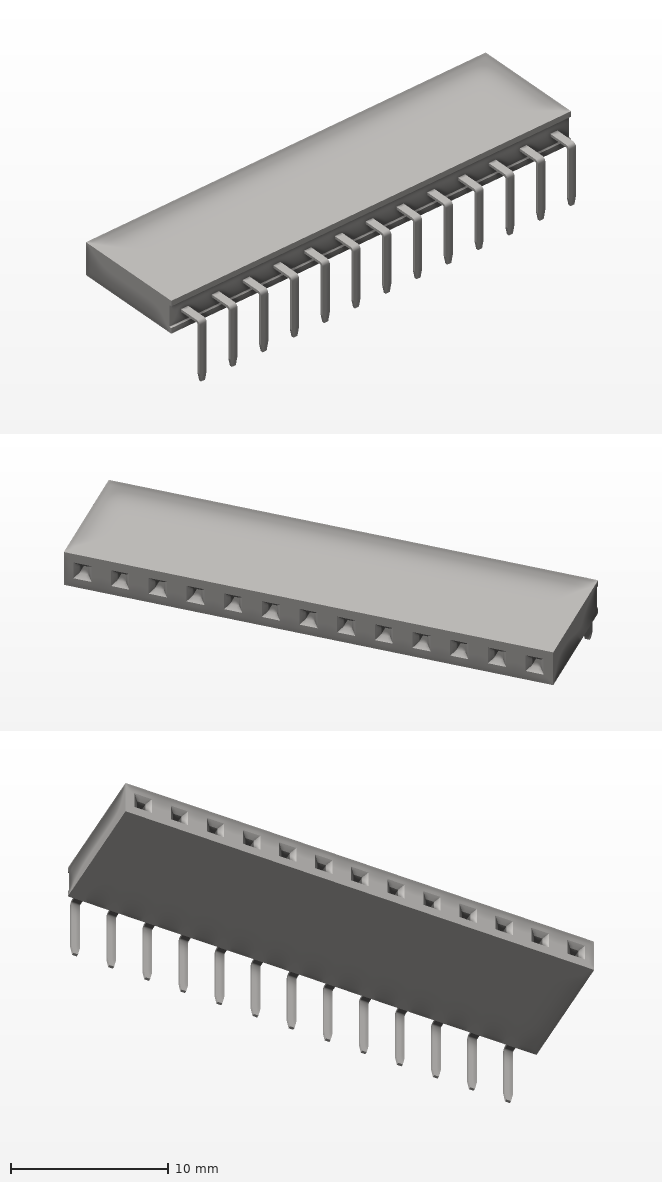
import cadquery as cq

pin_count = 13
total_length = 33.02
total_width = 10.15
total_height = 5.85
pitch = 2.55
housing_width = 8.5
housing_height = 2.55

groove_depth = 0.2
groove_lip = 0.43

pin_thickness = 0.2
pin_width = 0.6
pin_start = 1.12
bend_outer_radius = 0.3
bend_inner_radius = bend_outer_radius - pin_thickness
tip_length = 0.63
tip_width = 0.33

funnel_mouth = 1.22
socket_side = pin_width
funnel_depth = 0.3
socket_depth = 2.97

axis_z = housing_height / 2
pin_top = axis_z + pin_thickness / 2
tip_z = housing_height - total_height
pin_places = [(i - (pin_count - 1) / 2) * pitch for i in range(pin_count)]


def make_housing():
    block = cq.Workplane("XY").box(
        housing_width, total_length, housing_height, centered=(False, True, False)
    )
    groove = (
        cq.Workplane("XY")
        .box(groove_depth, total_length, housing_height - 2 * groove_lip)
        .translate((housing_width - groove_depth / 2, 0, axis_z))
    )
    return block.cut(groove)


def make_socket():
    """Square socket with a tapered lead-in, opening at X = 0."""
    funnel = (
        cq.Workplane("YZ")
        .center(0, axis_z)
        .rect(funnel_mouth, funnel_mouth)
        .workplane(offset=funnel_depth)
        .rect(socket_side, socket_side)
        .loft(ruled=True)
    )
    shaft = (
        cq.Workplane("YZ")
        .center(0, axis_z)
        .rect(socket_side, socket_side)
        .extrude(socket_depth)
    )
    return funnel.union(shaft)


def make_pin():
    """Flat strip bent down behind the housing, with a tip tapered in width."""
    strip = (
        cq.Workplane("XZ")
        .moveTo(pin_start, pin_top)
        .lineTo(total_width - bend_outer_radius, pin_top)
        .radiusArc((total_width, pin_top - bend_outer_radius), bend_outer_radius)
        .lineTo(total_width, tip_z)
        .lineTo(total_width - pin_thickness, tip_z)
        .lineTo(total_width - pin_thickness, pin_top - bend_outer_radius)
        .radiusArc((total_width - bend_outer_radius, pin_top - pin_thickness), -bend_inner_radius)
        .lineTo(pin_start, pin_top - pin_thickness)
        .close()
        .extrude(pin_width / 2, both=True)
    )
    leg_outline = (
        cq.Workplane("YZ")
        .polyline([
            (-tip_width / 2, tip_z),
            (tip_width / 2, tip_z),
            (pin_width / 2, tip_z + tip_length),
            (pin_width / 2, housing_height),
            (-pin_width / 2, housing_height),
            (-pin_width / 2, tip_z + tip_length),
        ])
        .close()
        .extrude(total_width)
    )
    return strip.intersect(leg_outline)


result = make_housing()
socket = make_socket()
pin = make_pin()
for y in pin_places:
    result = result.cut(socket.translate((0, y, 0)))
    result = result.union(pin.translate((0, y, 0)))